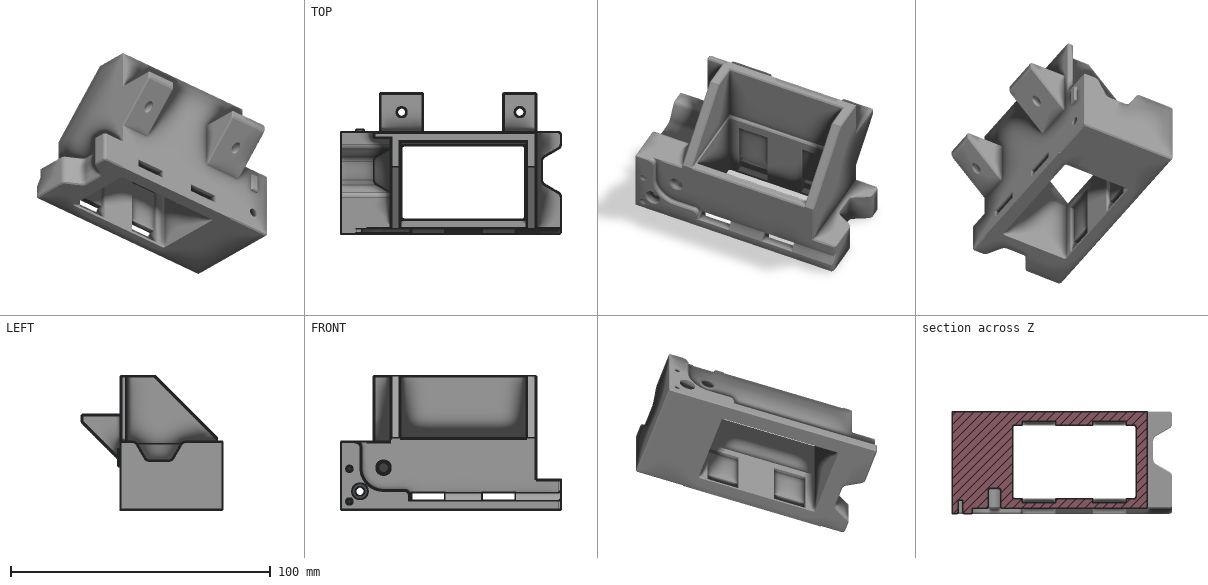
import cadquery as cq
import math

LENGTH = 84.9
BODY_DEPTH = 39.5
HEIGHT = 52.0
OVERALL_DEPTH = 54.5

BASE_HEIGHT = 12.0
BLOCK_HEIGHT = 26.6
FRONT_WALL_HEIGHT = 27.9

SMALL_CHAMFER = 0.25
CHAMFER = 0.5
END_CORNER_RADIUS = 1.2

BOX_LEFT = 19.1
BOX_RIGHT = 75.4
BOX_FRONT = 2.0
CAVITY_LEFT = 23.0
CAVITY_RIGHT = 71.4
CAVITY_BACK = 35.5
OPENING_FRONT = 5.9
OPENING_BACK = 34.05
OPENING_CORNER_RADIUS = 0.8

FLANGE_LEFT = 12.5
FLANGE_THICKNESS = 2.55

GROOVE_CENTER_Y = 24.55
GROOVE_TOP_WIDTH = 18.0
GROOVE_DEPTH = 7.3
GROOVE_FLANK_ANGLE = 60.0
GROOVE_SPAN_Y = (GROOVE_CENTER_Y - GROOVE_TOP_WIDTH / 2, GROOVE_CENTER_Y + GROOVE_TOP_WIDTH / 2)
GROOVE_FILLET = 2.0
GROOVE_FLOOR_LENGTH = 12.7

SLOT_WIDTH = 12.7
SLOT_LEFT_EDGES = (27.3, 54.4)
LEDGE_BOTTOM = 3.7
SLOT_FLOOR = 3.9
SLOT_TOP = 6.9
POCKET_TOP = 23.9
POCKET_DEPTH = 1.5
LIP_HEIGHT = 1.0
LIP_POCKET_DEPTH = 2.6

BLIND_X = 16.5
BLIND_Z = 16.5
BLIND_DIAMETER = 4.7
BLIND_DEPTH = 7.65
BLIND_FLOOR_BEVEL = 0.3

RECESS_RADIUS = 8.5
RECESS_RIGHT = 26.7
RECESS_EDGE_RADIUS = 2.0
RECESS_LEFT = BLIND_X - RECESS_RADIUS
RECESS_FLOOR = BLIND_Z - RECESS_RADIUS
TOP_CHAMFER_START = 10.3

BOLT_X = 7.4
BOLT_Z = 7.4
BOLT_DIAMETER = 3.4
COUNTERBORE_DIAMETER = 6.2
COUNTERBORE_DEPTH = 3.05
PILOT_X = 3.3
PILOT_ZS = (3.5, 16.05)
PILOT_DIAMETER = 1.6
PILOT_DEPTH = 5.1

LUG_WIDTH = 3.2
LUG_PROJECTION = 1.0
LUG_BOTTOM = 16.9
LUG_TOP = 23.7

BRACKETS = ((14.95, 31.85, 23.4), (62.4, BOX_RIGHT, 69.0))
BRACKET_TOP = 37.0
BRACKET_TIP = 3.0
BRACKET_HOLE_Y = 47.05
BRACKET_HOLE_CHAMFER = 0.3

SELECTION_MARGIN = 0.85


def edges_within(x_range, y_range, z_range):
    """Selector for edges whose centers lie in the given ranges, widened by the margin."""
    ranges = (x_range, y_range, z_range)
    low = tuple(start - SELECTION_MARGIN for start, _ in ranges)
    high = tuple(end + SELECTION_MARGIN for _, end in ranges)
    return cq.selectors.BoxSelector(low, high)


def block(x0, x1, y0, y1, z0, z1):
    """Rectangular block between two limits along each axis."""
    return cq.Workplane("XY").box(x1 - x0, y1 - y0, z1 - z0, centered=False).translate((x0, y0, z0))


def prism_along_x(points, x0, x1):
    """Extrude a closed (y, z) outline from x0 to x1."""
    return cq.Workplane("YZ").polyline(points).close().extrude(x1 - x0).translate((x0, 0, 0))


def front_hole(x, z, diameter, depth, chamfer=0.0, y=0.0):
    """Cutter for a hole drilled toward +Y from a face at y, with an optional mouth chamfer."""
    direction = cq.Vector(0, 1, 0)
    start = cq.Vector(x, y, z)
    radius = diameter / 2
    cutter = cq.Workplane(cq.Solid.makeCylinder(radius, depth, start, direction))
    if chamfer > 0:
        mouth = cq.Solid.makeCone(radius + chamfer, radius, chamfer, start, direction)
        cutter = cutter.union(cq.Workplane(mouth))
    return cutter


def make_blind_hole():
    """Blind hole in the recessed face, chamfered at the mouth and beveled around its floor."""
    hole = front_hole(BLIND_X, BLIND_Z, BLIND_DIAMETER, BLIND_DEPTH, CHAMFER, BOX_FRONT)
    return hole.faces(">Y").edges().chamfer(BLIND_FLOOR_BEVEL)


def groove_profile(workplane):
    """Closed trapezoid of the V groove, with its mouth centered on the workplane origin."""
    half_top = GROOVE_TOP_WIDTH / 2
    half_floor = half_top - GROOVE_DEPTH / math.tan(math.radians(GROOVE_FLANK_ANGLE))
    return workplane.polyline([
        (-half_top, 0),
        (-half_floor, -GROOVE_DEPTH),
        (half_floor, -GROOVE_DEPTH),
        (half_top, 0),
    ]).close()


def make_base():
    """Full-length base slab with the V notch in its right end."""
    base = block(0, LENGTH, 0, BODY_DEPTH, 0, BASE_HEIGHT)
    base = base.edges("|Z and >X").fillet(END_CORNER_RADIUS)
    mouth = cq.Plane(origin=(LENGTH, GROOVE_CENTER_Y, 0), xDir=(0, -1, 0), normal=(0, 0, 1))
    notch = groove_profile(cq.Workplane(mouth)).extrude(BASE_HEIGHT)
    base = base.cut(notch)
    notch_zone = edges_within((LENGTH - GROOVE_DEPTH, LENGTH), GROOVE_SPAN_Y, (0, BASE_HEIGHT))
    base = base.edges(notch_zone).edges("|Z").fillet(GROOVE_FILLET)
    base = base.faces(">Z").edges().chamfer(SMALL_CHAMFER)
    base = base.faces("<Z").edges().chamfer(CHAMFER)
    return base.edges("|Z and <X").chamfer(SMALL_CHAMFER)


def make_left_block():
    """Raised block at the left end with a V groove along X in its top."""
    left_block = block(0, CAVITY_LEFT, 0, BODY_DEPTH, BASE_HEIGHT / 2, BLOCK_HEIGHT)
    mouth = cq.Plane(origin=(0, GROOVE_CENTER_Y, BLOCK_HEIGHT), xDir=(0, 1, 0), normal=(1, 0, 0))
    groove = groove_profile(cq.Workplane(mouth)).extrude(CAVITY_LEFT)
    left_block = left_block.cut(groove)
    groove_heights = (BLOCK_HEIGHT - GROOVE_DEPTH, BLOCK_HEIGHT)
    groove_zone = edges_within((0, CAVITY_LEFT), GROOVE_SPAN_Y, groove_heights)
    left_block = left_block.edges(groove_zone).edges("|X").fillet(GROOVE_FILLET)
    left_block = left_block.edges("|X and >Z and (<Y or >Y)").chamfer(SMALL_CHAMFER)
    left_block = left_block.faces("<X").edges().chamfer(SMALL_CHAMFER)
    ramp_end = GROOVE_FLOOR_LENGTH + GROOVE_DEPTH
    floor = BLOCK_HEIGHT - GROOVE_DEPTH
    ramp_outline = [
        (GROOVE_FLOOR_LENGTH, floor),
        (ramp_end, BLOCK_HEIGHT),
        (CAVITY_LEFT, BLOCK_HEIGHT),
        (CAVITY_LEFT, floor),
    ]
    ramp = cq.Workplane("XZ").polyline(ramp_outline).close().extrude(-GROOVE_TOP_WIDTH)
    ramp = ramp.translate((0, GROOVE_SPAN_Y[0], 0))
    return left_block.union(ramp)


def make_box():
    """Open-fronted box: back wall with flange, and cheeks that slope down at 45 degrees."""
    slope_run = HEIGHT - FRONT_WALL_HEIGHT
    slope_start = BOX_FRONT + slope_run
    side_outline = [
        (BOX_FRONT, 0),
        (BOX_FRONT, FRONT_WALL_HEIGHT),
        (slope_start, HEIGHT),
        (BODY_DEPTH, HEIGHT),
        (BODY_DEPTH, 0),
    ]
    box = prism_along_x(side_outline, BOX_LEFT, BOX_RIGHT)
    flange_front = BODY_DEPTH - FLANGE_THICKNESS
    box = box.union(block(FLANGE_LEFT, BOX_LEFT, flange_front, BODY_DEPTH, BASE_HEIGHT, HEIGHT))
    box = box.cut(block(CAVITY_LEFT, CAVITY_RIGHT, 0, CAVITY_BACK, FRONT_WALL_HEIGHT, HEIGHT))

    box = box.edges("|Z and <X").chamfer(CHAMFER)
    box = box.edges("|Z and >X and <Y").chamfer(CHAMFER)
    top_rim = edges_within((0, LENGTH), (slope_start + 2 * SELECTION_MARGIN, BODY_DEPTH), (HEIGHT, HEIGHT))
    slope_middle_y = BOX_FRONT + slope_run / 2
    slope_middle_z = FRONT_WALL_HEIGHT + slope_run / 2
    slope_rims = edges_within((0, LENGTH), (slope_middle_y,) * 2, (slope_middle_z,) * 2)
    return box.edges(top_rim + slope_rims).chamfer(CHAMFER)


def make_bracket(left, right, hole_x):
    """Gusseted bracket with a flat top and a 45 degree underside."""
    reach = OVERALL_DEPTH - BODY_DEPTH
    tip_bottom = BRACKET_TOP - BRACKET_TIP
    outline = [
        (BODY_DEPTH, BRACKET_TOP),
        (OVERALL_DEPTH, BRACKET_TOP),
        (OVERALL_DEPTH, tip_bottom),
        (BODY_DEPTH, tip_bottom - reach),
    ]
    bracket = prism_along_x(outline, left, right)
    bracket = bracket.faces("<X or >X or >Y").edges("not <Y").chamfer(CHAMFER)
    hole = (
        cq.Workplane("XY", origin=(hole_x, BRACKET_HOLE_Y, 0))
        .circle(BOLT_DIAMETER / 2)
        .extrude(BRACKET_TOP)
    )
    bracket = bracket.cut(hole)
    return bracket.faces(">Z").edges("%CIRCLE").chamfer(BRACKET_HOLE_CHAMFER)


def make_lug():
    """Small locating lug on the back face, in line with the bolt hole."""
    half = LUG_WIDTH / 2
    lug = block(BOLT_X - half, BOLT_X + half, BODY_DEPTH, BODY_DEPTH + LUG_PROJECTION, LUG_BOTTOM, LUG_TOP)
    return lug.faces(">Y").edges("not >Z").chamfer(CHAMFER)


def make_opening():
    """Cutter for the rounded opening below the cavity, flared at its upper rim."""
    left = CAVITY_LEFT + CHAMFER
    right = CAVITY_RIGHT - CHAMFER
    opening = block(left, right, OPENING_FRONT, OPENING_BACK, 0, FRONT_WALL_HEIGHT - CHAMFER)
    opening = opening.edges("|Z").fillet(OPENING_CORNER_RADIUS)
    flare = opening.faces(">Z").wires().toPending().workplane().extrude(CHAMFER, taper=-45, combine=False)
    return opening.union(flare)


def recess_outline(workplane):
    """Closed (x, z) outline of the front recess."""
    edge = RECESS_EDGE_RADIUS
    diagonal = math.sqrt(0.5)
    return (
        workplane
        .moveTo(RECESS_LEFT - edge, BLOCK_HEIGHT)
        .threePointArc(
            (RECESS_LEFT - edge + edge * diagonal, BLOCK_HEIGHT - edge + edge * diagonal),
            (RECESS_LEFT, BLOCK_HEIGHT - edge),
        )
        .lineTo(RECESS_LEFT, BLIND_Z)
        .threePointArc(
            (BLIND_X - RECESS_RADIUS * diagonal, BLIND_Z - RECESS_RADIUS * diagonal),
            (BLIND_X, RECESS_FLOOR),
        )
        .lineTo(RECESS_RIGHT - edge, RECESS_FLOOR)
        .threePointArc(
            (RECESS_RIGHT - edge + edge * diagonal, RECESS_FLOOR - edge + edge * diagonal),
            (RECESS_RIGHT, RECESS_FLOOR - edge),
        )
        .lineTo(RECESS_RIGHT, LEDGE_BOTTOM)
        .lineTo(LENGTH, LEDGE_BOTTOM)
        .lineTo(LENGTH, BLOCK_HEIGHT)
        .close()
    )


def make_front_recess():
    """Recess that sets the front face back to the box front, above a sloped ledge."""
    recess = recess_outline(cq.Workplane("XZ")).extrude(-BOX_FRONT)
    flare_start = cq.Workplane("XZ", origin=(0, CHAMFER, 0))
    recess = recess.union(recess_outline(flare_start).extrude(CHAMFER, taper=-45))
    recess = recess.cut(block(0, LENGTH, 0, BOX_FRONT, 0, LEDGE_BOTTOM))
    ledge = [(0, LEDGE_BOTTOM), (BOX_FRONT, SLOT_TOP), (BOX_FRONT, LEDGE_BOTTOM)]
    return recess.cut(prism_along_x(ledge, RECESS_RIGHT, LENGTH))


def make_front_edge_chamfer(left, right, top):
    """Cutter for a chamfer along X on a top edge of the recessed front face."""
    outline = [(BOX_FRONT, top - CHAMFER), (BOX_FRONT + CHAMFER, top), (BOX_FRONT, top)]
    return prism_along_x(outline, left, right)


def make_slot(left):
    """Slot through both long walls, with mirrored two-step pockets facing the opening."""
    right = left + SLOT_WIDTH
    slot = block(left, right, 0, BODY_DEPTH, SLOT_FLOOR, SLOT_TOP)
    shallow = block(left, right, OPENING_FRONT - POCKET_DEPTH, OPENING_BACK + POCKET_DEPTH,
                    LIP_HEIGHT, POCKET_TOP)
    deep = block(left, right, OPENING_FRONT - LIP_POCKET_DEPTH, OPENING_BACK + LIP_POCKET_DEPTH,
                 LIP_HEIGHT, SLOT_TOP)
    return slot.union(shallow).union(deep)


result = make_left_block().union(make_base()).cut(make_front_recess())
recess_end = edges_within((LENGTH, LENGTH), (BOX_FRONT, BOX_FRONT), (SLOT_TOP, BASE_HEIGHT))
result = result.edges(recess_end).edges("|Z").fillet(END_CORNER_RADIUS)
result = result.union(make_box())

for bracket_left, bracket_right, bracket_hole_x in BRACKETS:
    result = result.union(make_bracket(bracket_left, bracket_right, bracket_hole_x))
result = result.union(make_lug())

result = result.cut(make_opening())
front_edges = (
    (TOP_CHAMFER_START, BOX_LEFT, BLOCK_HEIGHT),
    (CAVITY_LEFT, CAVITY_RIGHT, FRONT_WALL_HEIGHT),
    (BOX_RIGHT, LENGTH, BASE_HEIGHT),
)
for edge_left, edge_right, edge_height in front_edges:
    result = result.cut(make_front_edge_chamfer(edge_left, edge_right, edge_height))
for slot_left in SLOT_LEFT_EDGES:
    result = result.cut(make_slot(slot_left))

result = result.cut(front_hole(BOLT_X, BOLT_Z, BOLT_DIAMETER, BODY_DEPTH))
result = result.cut(front_hole(BOLT_X, BOLT_Z, COUNTERBORE_DIAMETER, COUNTERBORE_DEPTH))
result = result.cut(make_blind_hole())
for pilot_z in PILOT_ZS:
    result = result.cut(front_hole(PILOT_X, pilot_z, PILOT_DIAMETER, PILOT_DEPTH, CHAMFER))